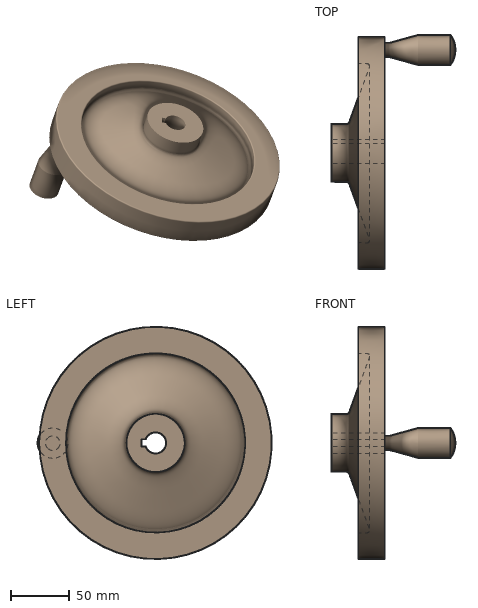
import cadquery as cq
import math

hub_diameter = 50.0
hub_length = 14.7
wheel_diameter = 200.0
rim_width = 23.0
rim_front = 23.0
rim_back = rim_front + rim_width
recess_diameter = 154.2
web_angle = 20.0
rim_fillet = 1.0
hub_fillet = 2.0
recess_fillet = 2.2

bore_diameter = 18.0
key_width = 6.0
key_reach = 11.9

overall_height = 201.5
overall_length = 106.8
neck_diameter = 12.5
grip_diameter = 26.0
neck_length = 4.2
taper_length = 24.4
dome_height = 4.5
handle_offset = overall_height - (wheel_diameter + grip_diameter) / 2

hub_radius = hub_diameter / 2
wheel_radius = wheel_diameter / 2
recess_radius = recess_diameter / 2
recess_floor = hub_length + (recess_radius - hub_radius) * math.tan(math.radians(web_angle))


def fillet_circle(body, x, radius, fillet):
    """Round the circular edge of the given radius that lies at the given X."""
    tolerance = 0.02
    circles = body.edges("%CIRCLE").vals()
    edges = [
        edge
        for edge in circles
        if abs(edge.radius() - radius) < tolerance and abs(edge.arcCenter().x - x) < tolerance
    ]
    return body.newObject(edges).fillet(fillet)


def make_wheel():
    wheel = (
        cq.Workplane("XY")
        .moveTo(0, 0)
        .lineTo(0, hub_radius)
        .lineTo(hub_length, hub_radius)
        .lineTo(recess_floor, recess_radius)
        .lineTo(rim_front, recess_radius)
        .lineTo(rim_front, wheel_radius)
        .lineTo(rim_back, wheel_radius)
        .lineTo(rim_back, 0)
        .close()
        .revolve(360, (0, 0, 0), (1, 0, 0))
    )
    wheel = fillet_circle(wheel, hub_length, hub_radius, hub_fillet)
    wheel = fillet_circle(wheel, recess_floor, recess_radius, recess_fillet)
    wheel = fillet_circle(wheel, rim_front, recess_radius, rim_fillet)
    for x in (rim_front, rim_back):
        wheel = fillet_circle(wheel, x, wheel_radius, rim_fillet)
    return wheel


def make_keyed_bore():
    bore = cq.Workplane("YZ").circle(bore_diameter / 2).extrude(rim_back)
    keyway = cq.Workplane("XY").box(rim_back, key_reach, key_width, centered=(False, False, True))
    return bore.union(keyway)


def make_handle():
    neck_radius = neck_diameter / 2
    grip_radius = grip_diameter / 2
    taper_start = rim_back + neck_length
    grip_start = taper_start + taper_length
    dome_start = overall_length - dome_height
    dome_radius = (grip_radius**2 + dome_height**2) / (2 * dome_height)
    half_angle = math.asin(grip_radius / dome_radius) / 2
    dome_middle = (
        overall_length - dome_radius * (1 - math.cos(half_angle)),
        dome_radius * math.sin(half_angle),
    )
    handle = (
        cq.Workplane("XY")
        .moveTo(rim_back, 0)
        .lineTo(rim_back, neck_radius)
        .lineTo(taper_start, neck_radius)
        .lineTo(grip_start, grip_radius)
        .lineTo(dome_start, grip_radius)
        .threePointArc(dome_middle, (overall_length, 0))
        .close()
        .revolve(360, (0, 0, 0), (1, 0, 0))
    )
    return handle.translate((0, handle_offset, 0))


result = make_wheel().cut(make_keyed_bore()).union(make_handle())